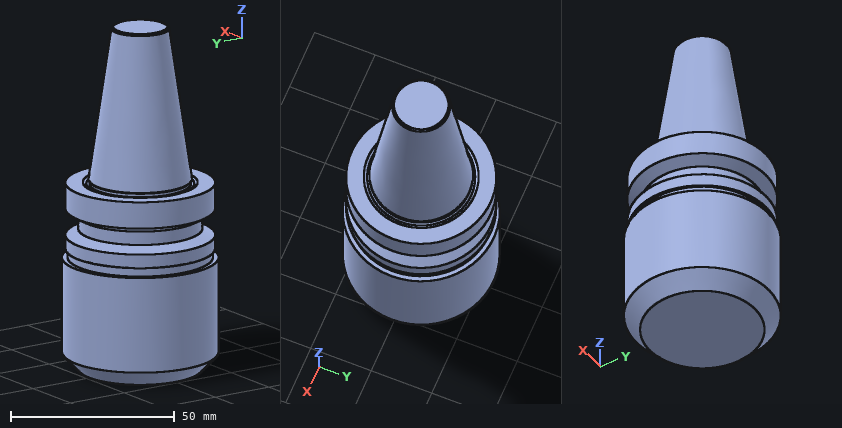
import cadquery as cq

BODY_DIAMETER = 48.0
BODY_END_DIAMETER = 38.0
NECK_DIAMETER = 44.5
FLANGE_DIAMETER = 46.0
GROOVE_DIAMETER = 38.0
RECESS_MOUTH_DIAMETER = 35.1
RECESS_FLOOR_DIAMETER = 33.1
RELIEF_DIAMETER = 31.1
GAUGE_DIAMETER = 31.8

BODY_CHAMFER_TOP = 5.3
BODY_TOP = 35.3
NECK_TOP = 38.2
LOWER_FLANGE_TOP = 42.5
GROOVE_BOTTOM = 44.4
GROOVE_TOP = 48.7
UPPER_FLANGE_BOTTOM = 50.7
FLANGE_FACE = 59.1
GAUGE_HEIGHT = 60.0
TOTAL_HEIGHT = 108.4

TAPER_RATIO = 7 / 24
TIP_CHAMFER = 0.5
RELIEF_CHAMFER = (GAUGE_DIAMETER - RELIEF_DIAMETER) / 2
RECESS_DEPTH = 0.4

tip_diameter = GAUGE_DIAMETER - TAPER_RATIO * (TOTAL_HEIGHT - GAUGE_HEIGHT)

body_stations = [
    (BODY_END_DIAMETER, 0),
    (BODY_DIAMETER, BODY_CHAMFER_TOP),
    (BODY_DIAMETER, BODY_TOP),
    (NECK_DIAMETER, BODY_TOP),
    (NECK_DIAMETER, NECK_TOP),
]
flange_stations = [
    (FLANGE_DIAMETER, NECK_TOP),
    (FLANGE_DIAMETER, LOWER_FLANGE_TOP),
    (GROOVE_DIAMETER, GROOVE_BOTTOM),
    (GROOVE_DIAMETER, GROOVE_TOP),
    (FLANGE_DIAMETER, UPPER_FLANGE_BOTTOM),
    (FLANGE_DIAMETER, FLANGE_FACE),
    (RECESS_MOUTH_DIAMETER, FLANGE_FACE),
    (RECESS_FLOOR_DIAMETER, FLANGE_FACE - RECESS_DEPTH),
]
shank_stations = [
    (RELIEF_DIAMETER, FLANGE_FACE - RECESS_DEPTH),
    (RELIEF_DIAMETER, GAUGE_HEIGHT - RELIEF_CHAMFER),
    (GAUGE_DIAMETER, GAUGE_HEIGHT),
    (tip_diameter + TAPER_RATIO * TIP_CHAMFER, TOTAL_HEIGHT - TIP_CHAMFER),
    (tip_diameter - 2 * TIP_CHAMFER, TOTAL_HEIGHT),
]


def turned_solid(stations):
    """Revolve a stepped half-profile, closed along the Z axis."""
    axis_bottom = (0, stations[0][1])
    axis_top = (0, stations[-1][1])
    rim = [(diameter / 2, height) for diameter, height in stations]
    profile = cq.Workplane("XZ").polyline([axis_bottom, *rim, axis_top]).close()
    return profile.revolve(360, (0, 0, 0), (0, 1, 0))


result = turned_solid(body_stations + flange_stations + shank_stations)